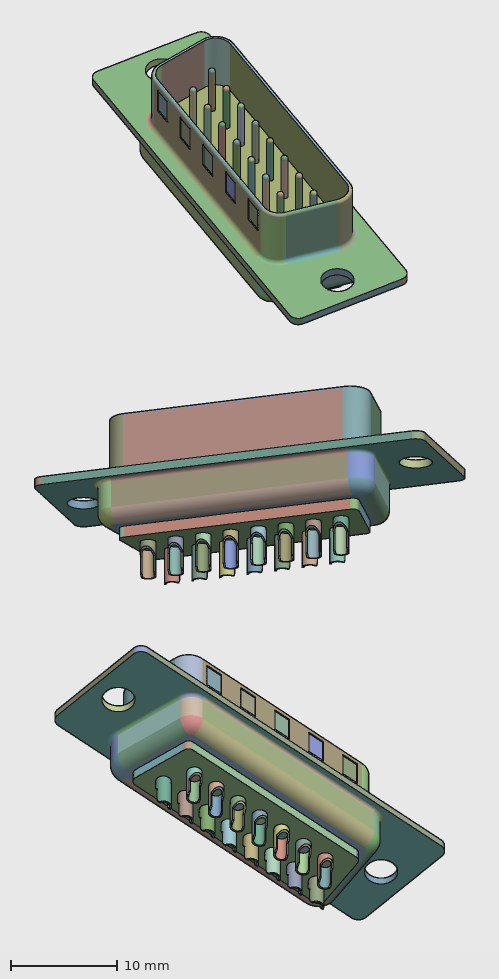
import cadquery as cq
import math


FLANGE_LENGTH = 39.15
FLANGE_DEPTH = 12.6
FLANGE_THICKNESS = 0.82
FLANGE_CORNER_RADIUS = 0.95
MOUNT_HOLE_DIAMETER = 3.15
MOUNT_HOLE_SPACING = 33.35

END_ANGLE = math.radians(10)

SHELL_TOP = 6.85
SHELL_MID_WIDTH = 25.2
SHELL_DEPTH = 9.15
SHELL_CORNER_RADIUS = 2.0
SHELL_WALL = 0.4
SHELL_RIM_ROUND = 0.27
SHELL_BASE_FILLET = 0.45
SHELL_FLOOR = FLANGE_THICKNESS

RECESS_COUNT = 5
RECESS_PITCH = 4.3
RECESS_WIDTH = 1.85
RECESS_BOTTOM = 3.52
RECESS_TOP = 6.15
RECESS_DEPTH = 0.1

HOUSING_BOTTOM = -4.1
HOUSING_MID_WIDTH = 26.45
HOUSING_DEPTH = 10.95
HOUSING_WIDE_CORNER_RADIUS = 1.9
HOUSING_NARROW_CORNER_RADIUS = 1.65
HOUSING_BOTTOM_ROUND = 1.3
HOUSING_TOP_FILLET = 0.3
LIP_BOTTOM = -5.2
LIP_MID_WIDTH = 23.02
LIP_DEPTH = 7.0
LIP_CORNER_RADIUS = 0.63

LONG_ROW_COUNT = 8
LONG_ROW_SPAN = 19.38
PIN_PITCH = LONG_ROW_SPAN / (LONG_ROW_COUNT - 1)
ROW_SPACING = 2.8
ROWS = [(LONG_ROW_COUNT, 1), (LONG_ROW_COUNT - 1, -1)]
PIN_DIAMETER = 0.65
PIN_TOP = 6.0
PIN_TIP_ROUND = 0.3
CUP_DIAMETER = 1.5
CUP_BORE_DIAMETER = 1.17
CUP_BOTTOM = -8.65
CUP_SLOPE_TOP = -5.85
CUP_FLAT_TOP = -6.65
CUP_FLAT_OFFSET = 1.5
CUP_TIP_BEVEL_WIDTH = 0.25
CUP_TIP_BEVEL_HEIGHT = 0.4


def d_prism(mid_width, depth, wide_radius, narrow_radius, bottom, top):
    """Upright prism with a D-shaped outline, wide side at +Y, corners rounded."""
    half_depth = depth / 2
    lean = half_depth * math.tan(END_ANGLE)
    wide = mid_width / 2 + lean
    narrow = mid_width / 2 - lean
    corners = [(-wide, half_depth), (wide, half_depth), (narrow, -half_depth), (-narrow, -half_depth)]
    prism = cq.Workplane("XY").workplane(offset=bottom).polyline(corners).close().extrude(top - bottom)
    prism = prism.edges("|Z and >Y").fillet(wide_radius)
    return prism.edges("|Z and <Y").fillet(narrow_radius)


def flange_plate():
    return (
        cq.Workplane("XY")
        .rect(FLANGE_LENGTH, FLANGE_DEPTH)
        .extrude(FLANGE_THICKNESS)
        .edges("|Z")
        .fillet(FLANGE_CORNER_RADIUS)
    )


def mount_holes():
    half_spacing = MOUNT_HOLE_SPACING / 2
    return (
        cq.Workplane("XY")
        .pushPoints([(-half_spacing, 0), (half_spacing, 0)])
        .circle(MOUNT_HOLE_DIAMETER / 2)
        .extrude(FLANGE_THICKNESS)
    )


def outer_shell():
    shell = d_prism(
        SHELL_MID_WIDTH, SHELL_DEPTH, SHELL_CORNER_RADIUS, SHELL_CORNER_RADIUS, FLANGE_THICKNESS, SHELL_TOP
    )
    return shell.faces(">Z").edges().fillet(SHELL_RIM_ROUND)


def shell_cavity():
    inner_radius = SHELL_CORNER_RADIUS - SHELL_WALL
    inner_mid_width = SHELL_MID_WIDTH - 2 * SHELL_WALL / math.cos(END_ANGLE)
    inner_depth = SHELL_DEPTH - 2 * SHELL_WALL
    return d_prism(inner_mid_width, inner_depth, inner_radius, inner_radius, SHELL_FLOOR, SHELL_TOP)


def housing():
    body = d_prism(
        HOUSING_MID_WIDTH,
        HOUSING_DEPTH,
        HOUSING_WIDE_CORNER_RADIUS,
        HOUSING_NARROW_CORNER_RADIUS,
        HOUSING_BOTTOM,
        0,
    )
    return body.faces("<Z").edges().fillet(HOUSING_BOTTOM_ROUND)


def lip():
    return d_prism(LIP_MID_WIDTH, LIP_DEPTH, LIP_CORNER_RADIUS, LIP_CORNER_RADIUS, LIP_BOTTOM, HOUSING_BOTTOM)


def fillet_joint(body, height, radius):
    """Fillet the inside corner where a D-shaped wall meets the flange at the given height."""
    joint_reach = (FLANGE_DEPTH + HOUSING_DEPTH) / 4
    tolerance = 0.005
    joint = cq.selectors.BoxSelector(
        (-MOUNT_HOLE_SPACING / 2, -joint_reach, height - tolerance),
        (MOUNT_HOLE_SPACING / 2, joint_reach, height + tolerance),
    )
    return body.edges(joint).fillet(radius)


def recesses():
    height = RECESS_TOP - RECESS_BOTTOM
    return (
        cq.Workplane("XZ", origin=(0, -SHELL_DEPTH / 2, (RECESS_TOP + RECESS_BOTTOM) / 2))
        .rarray(RECESS_PITCH, 0.4, RECESS_COUNT, 1)
        .rect(RECESS_WIDTH, height)
        .extrude(-RECESS_DEPTH)
    )


def round_row(count, side, diameter, bottom, top):
    """Row of upright cylinders at the contact positions of one side."""
    return (
        cq.Workplane("XY", origin=(0, side * ROW_SPACING / 2, bottom))
        .rarray(PIN_PITCH, 0.4, count, 1)
        .circle(diameter / 2)
        .extrude(top - bottom)
    )


def pin_row(count, side):
    pins = round_row(count, side, PIN_DIAMETER, SHELL_FLOOR, PIN_TOP)
    return pins.faces(">Z").edges().fillet(PIN_TIP_ROUND)


def cup_row(count, side):
    """Solder cups: tubes below the lip with their outer half cut away."""
    cups = round_row(count, side, CUP_DIAMETER, CUP_BOTTOM, LIP_BOTTOM)
    bores = round_row(count, side, CUP_BORE_DIAMETER, CUP_BOTTOM, CUP_SLOPE_TOP)
    cup_face = (ROW_SPACING + CUP_DIAMETER) / 2
    cutaway_profile = [
        (cup_face, CUP_SLOPE_TOP),
        (CUP_FLAT_OFFSET, CUP_FLAT_TOP),
        (CUP_FLAT_OFFSET, CUP_BOTTOM + CUP_TIP_BEVEL_HEIGHT),
        (CUP_FLAT_OFFSET - CUP_TIP_BEVEL_WIDTH, CUP_BOTTOM),
        (cup_face, CUP_BOTTOM),
    ]
    cutaway = (
        cq.Workplane("YZ")
        .polyline([(side * y, z) for y, z in cutaway_profile])
        .close()
        .extrude(count * PIN_PITCH / 2, both=True)
    )
    return cups.cut(bores).cut(cutaway)


body = flange_plate().union(outer_shell()).union(housing())
body = fillet_joint(body, FLANGE_THICKNESS, SHELL_BASE_FILLET)
body = fillet_joint(body, 0, HOUSING_TOP_FILLET)
body = body.cut(mount_holes()).cut(shell_cavity()).cut(recesses()).union(lip())
for count, side in ROWS:
    body = body.union(pin_row(count, side)).union(cup_row(count, side))

result = body